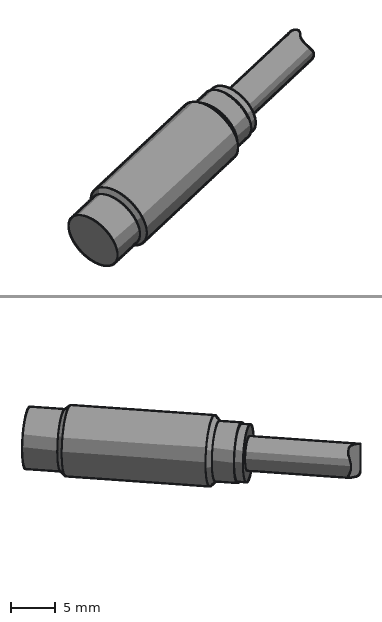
import cadquery as cq

face_diameter = 7.0
body_diameter = 8.0
collar_diameter = 6.8
bushing_diameter = 6.5
cable_diameter = 3.9

face_length = 4.0
body_length = 17.5
collar_length = 2.5
bushing_length = 1.0
overall_length = 37.5
body_chamfer_length = 0.6

wave_height = 0.49

body_start = face_length
body_end = body_start + body_length
collar_end = body_end + collar_length
bushing_end = collar_end + bushing_length
wave_middle = overall_length - wave_height


def make_housing():
    """Revolve the stepped half profile around the Y axis."""
    half_profile = (
        cq.Workplane("XY")
        .lineTo(face_diameter / 2, 0)
        .lineTo(face_diameter / 2, body_start)
        .lineTo(body_diameter / 2, body_start + body_chamfer_length)
        .lineTo(body_diameter / 2, body_end - body_chamfer_length)
        .lineTo(collar_diameter / 2, body_end)
        .lineTo(collar_diameter / 2, collar_end)
        .lineTo(bushing_diameter / 2, collar_end)
        .lineTo(bushing_diameter / 2, bushing_end)
        .lineTo(0, bushing_end)
        .close()
    )
    return half_profile.revolve(360, (0, 0, 0), (0, 1, 0))


def make_cable():
    """Round cable whose free end is cut to an S-shaped break line, seen along Z."""
    radius = cable_diameter / 2
    cable = (
        cq.Workplane("XZ", origin=(0, bushing_end, 0))
        .circle(radius)
        .extrude(-(overall_length - bushing_end))
    )
    kept_region = (
        cq.Workplane("XY")
        .moveTo(-radius, bushing_end)
        .lineTo(-radius, wave_middle)
        .threePointArc((-radius / 2, overall_length), (0, wave_middle))
        .threePointArc((radius / 2, wave_middle - wave_height), (radius, wave_middle))
        .lineTo(radius, bushing_end)
        .close()
        .extrude(radius, both=True)
    )
    return cable.intersect(kept_region)


result = make_housing().union(make_cable())